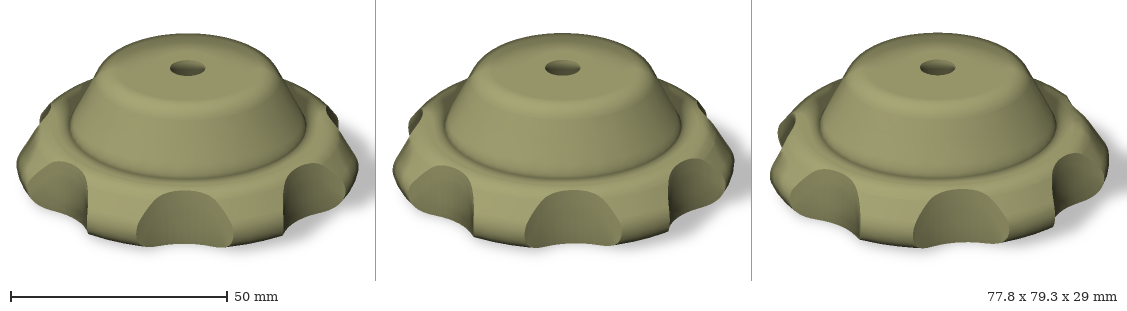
import cadquery as cq

rim_height = 14.0
rim_bottom_radius = 45.0
rim_top_radius = 34.0

total_height = 29.0
hub_height = total_height - rim_height
hub_base_radius = 27.5
hub_top_radius = 20.0

edge_fillet = 5.0
bore_diameter = 8.2

notch_count = 7
notch_radius = 15.0
notch_floor_radius = 33.0
notch_center_radius = notch_floor_radius + notch_radius


def frustum(bottom_radius, top_radius, height):
    """Cone frustum on the XY plane, centred on the Z axis."""
    profile = [(0, 0), (bottom_radius, 0), (top_radius, height), (0, height)]
    return cq.Workplane("XZ").polyline(profile).close().revolve(360, (0, 0), (0, 1))


def make_rim():
    return frustum(rim_bottom_radius, rim_top_radius, rim_height).edges("%CIRCLE").fillet(edge_fillet)


def make_hub():
    hub = frustum(hub_base_radius, hub_top_radius, hub_height)
    hub = hub.faces(">Z").edges().fillet(edge_fillet)
    return hub.translate((0, 0, rim_height))


def make_notches():
    return (
        cq.Workplane("XY")
        .polarArray(notch_center_radius, 0, 360, notch_count)
        .circle(notch_radius)
        .extrude(rim_height)
    )


def make_bore():
    return cq.Workplane("XY").circle(bore_diameter / 2).extrude(total_height)


result = make_rim().cut(make_notches()).union(make_hub()).cut(make_bore())